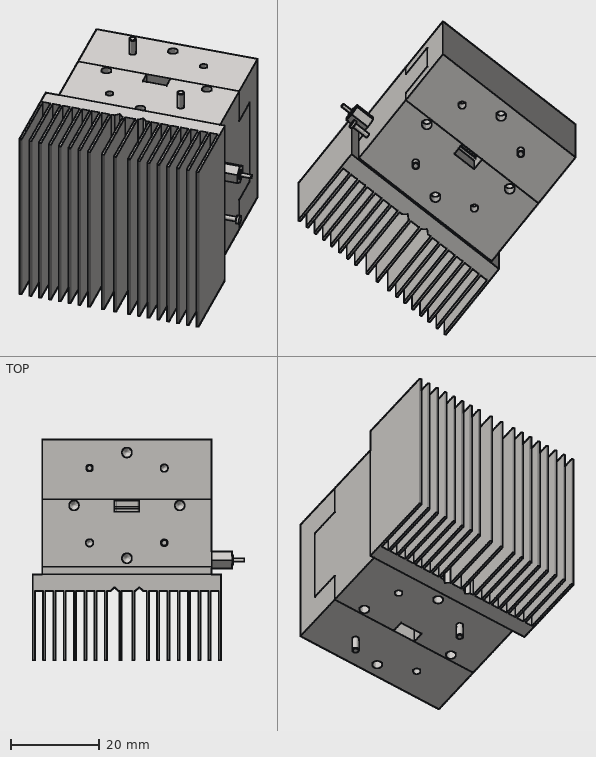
import cadquery as cq
import math


BLOCK_WIDTH = 38.3
BLOCK_HEIGHT = 38.1
SPLIT_Y = 1.45
BACK_Y = 14.95
TONGUE_Y = 9.25
TONGUE_HEIGHT = 21.7

PLATE_THICKNESS = 1.7
PLATE_HEIGHT = 17.5

SINK_SIZE = 42.6
SINK_BACK_Y = -15.6
SINK_BASE_THICKNESS = 3.75
FIN_TIP_Y = -35.05
FIN_THICKNESS = 0.55
FIN_TIP_RADIUS = 0.15
FINS_PER_SIDE = 8
CENTRE_FIN_X = 1.45
INNER_FIN_X = 4.75
GROOVE_X = 2.8
GROOVE_HALF_WIDTH = 0.9
GROOVE_DEPTH = 0.8

BOLT_CIRCLE_RADIUS = 11.95
BOLT_HOLE_DIAMETER = 2.25
DOWEL_OFFSET = 8.45
DOWEL_HOLE_DIAMETER = 1.7
DOWEL_DIAMETER = 1.55
DOWEL_LENGTH = 3.95
DOWEL_CHAMFER = 0.15
HOLE_DEPTH = 6.0
DRILL_TIP_ANGLE = 118.0
GUIDE_WIDTH = 5.7
GUIDE_DEPTH = 10.0
GUIDE_STEP_DROP = 1.0
GUIDE_STEP_EDGES = (-0.8, -0.35, 1.0)
GUIDE_CORNER_RADIUS = 0.4
GUIDE_SLOT_WIDTH = 1.15

FITTING_Y = -12.35
FITTING_Z = 6.25
HEX_CORNERS = 4.5
FITTING_END_X = 23.8
COLLAR_DIAMETER = 2.1
COLLAR_LENGTH = 0.25
CONTACT_DIAMETER = 0.85
CONTACT_END_X = 26.55
STEM_DIAMETER = 1.1
HEAD_DIAMETER = 1.95
HEAD_LENGTH = 0.7

FACE_X = BLOCK_WIDTH / 2
FACE_Z = BLOCK_HEIGHT / 2
TONGUE_Z = TONGUE_HEIGHT / 2
PLATE_Y = SINK_BACK_Y + PLATE_THICKNESS
PLATE_BOTTOM_Z = FACE_Z - PLATE_HEIGHT
SINK_HALF = SINK_SIZE / 2
OUTER_FIN_X = SINK_HALF - FIN_THICKNESS / 2
FIN_PITCH = (OUTER_FIN_X - INNER_FIN_X) / (FINS_PER_SIDE - 1)


def box(x_range, y_range, z_range):
    """A box between the given (low, high) coordinates."""
    lows, highs = zip(x_range, y_range, z_range)
    size = [high - low for low, high in zip(lows, highs)]
    return cq.Workplane("XY").box(*size, centered=False).translate(lows)


def across_block(y_range, z_range):
    """A box over the full width of the blocks."""
    return box((-FACE_X, FACE_X), y_range, z_range)


def x_cylinder(diameter, z, start_x, end_x):
    """A round bar along X on the line of the fittings."""
    plane = cq.Workplane("YZ", origin=(start_x, FITTING_Y, z))
    return plane.circle(diameter / 2).extrude(end_x - start_x)


def drilled_hole(x, y, diameter):
    """A blind hole with a conical bottom, drilled down from the top face."""
    radius = diameter / 2
    tip = radius / math.tan(math.radians(DRILL_TIP_ANGLE / 2))
    profile = [(0, 0), (radius, 0), (radius, -HOLE_DEPTH), (0, -HOLE_DEPTH - tip)]
    hole = cq.Workplane("XZ").polyline(profile).close().revolve(360, (0, 0, 0), (0, 1, 0))
    return hole.translate((x, y, FACE_Z))


def add_flange(block, bolt_places, pin_place, hole_place):
    """Drills one block's share of both flanges and adds its dowels."""
    cutters = [drilled_hole(x, y, BOLT_HOLE_DIAMETER) for x, y in bolt_places]
    cutters.append(drilled_hole(*hole_place, DOWEL_HOLE_DIAMETER))
    for cutter in cutters:
        block = block.cut(cutter).cut(cutter.mirror("XY"))
    dowel = (
        cq.Workplane("XY", origin=(*pin_place, FACE_Z))
        .circle(DOWEL_DIAMETER / 2)
        .extrude(DOWEL_LENGTH)
        .faces(">Z")
        .chamfer(DOWEL_CHAMFER)
    )
    return block.union(dowel).union(dowel.mirror("XY"))


def make_rear_block():
    """Rear block, recessed at mid-height for the tongue of the front block."""
    block = across_block((SPLIT_Y, BACK_Y), (-FACE_Z, FACE_Z))
    block = block.cut(across_block((SPLIT_Y, TONGUE_Y), (-TONGUE_Z, TONGUE_Z)))
    return add_flange(
        block,
        bolt_places=[(0, BOLT_CIRCLE_RADIUS)],
        pin_place=(-DOWEL_OFFSET, DOWEL_OFFSET),
        hole_place=(DOWEL_OFFSET, DOWEL_OFFSET),
    )


def make_connector():
    """Hexagonal connector with a collar and a slender contact."""
    hexagon = cq.Workplane("YZ", origin=(FACE_X, FITTING_Y, FITTING_Z)).transformed(rotate=(0, 0, 90))
    body = hexagon.polygon(6, HEX_CORNERS).extrude(FITTING_END_X - FACE_X)
    collar = x_cylinder(COLLAR_DIAMETER, FITTING_Z, FITTING_END_X, FITTING_END_X + COLLAR_LENGTH)
    contact = x_cylinder(CONTACT_DIAMETER, FITTING_Z, FITTING_END_X, CONTACT_END_X)
    return body.union(collar).union(contact)


def make_terminal():
    """Round terminal with a wider head."""
    stem = x_cylinder(STEM_DIAMETER, -FITTING_Z, FACE_X, FITTING_END_X)
    head = x_cylinder(HEAD_DIAMETER, -FITTING_Z, FITTING_END_X - HEAD_LENGTH, FITTING_END_X)
    return stem.union(head)


def make_guide_opening():
    """Waveguide opening with a floor that steps down to the rear and a slot in its last step."""
    edges = [-SPLIT_Y, *GUIDE_STEP_EDGES, SPLIT_Y]
    floor_z = FACE_Z - GUIDE_DEPTH
    opening = cq.Workplane("XY")
    for front_y, rear_y in zip(edges, edges[1:]):
        step = box((-GUIDE_WIDTH / 2, GUIDE_WIDTH / 2), (front_y, rear_y), (floor_z, FACE_Z))
        opening = opening.union(step.faces("<Z").edges("|Y").fillet(GUIDE_CORNER_RADIUS))
        floor_z -= GUIDE_STEP_DROP
    slot_y = (GUIDE_STEP_EDGES[-1], SPLIT_Y)
    slot = box((-GUIDE_SLOT_WIDTH / 2, GUIDE_SLOT_WIDTH / 2), slot_y, (floor_z, FACE_Z))
    return opening.union(slot)


def make_front_block():
    """Front block with its tongue, waveguide openings, connector and terminal."""
    block = across_block((SINK_BACK_Y, SPLIT_Y), (-FACE_Z, FACE_Z))
    block = block.union(across_block((SPLIT_Y, TONGUE_Y), (-TONGUE_Z, TONGUE_Z)))
    block = block.cut(across_block((SINK_BACK_Y, PLATE_Y), (PLATE_BOTTOM_Z, FACE_Z)))
    guide = make_guide_opening()
    block = block.cut(guide).cut(guide.mirror("XY"))
    block = add_flange(
        block,
        bolt_places=[(-BOLT_CIRCLE_RADIUS, 0), (BOLT_CIRCLE_RADIUS, 0), (0, -BOLT_CIRCLE_RADIUS)],
        pin_place=(DOWEL_OFFSET, -DOWEL_OFFSET),
        hole_place=(-DOWEL_OFFSET, -DOWEL_OFFSET),
    )
    return block.union(make_connector()).union(make_terminal())


def make_cover_plate():
    """Plate let into the upper half of the front block."""
    return across_block((SINK_BACK_Y, PLATE_Y), (PLATE_BOTTOM_Z, FACE_Z))


def make_heat_sink():
    """Finned heat sink with two V grooves in the root of the centre channels."""
    heights = (-SINK_HALF, SINK_HALF)
    root_y = SINK_BACK_Y - SINK_BASE_THICKNESS
    sink = box((-SINK_HALF, SINK_HALF), (root_y, SINK_BACK_Y), heights)
    fin_places = [CENTRE_FIN_X] + [INNER_FIN_X + i * FIN_PITCH for i in range(FINS_PER_SIDE)]
    for side in (-1, 1):
        groove = (
            cq.Workplane("XY", origin=(side * GROOVE_X, root_y, -SINK_HALF))
            .polyline([(-GROOVE_HALF_WIDTH, 0), (GROOVE_HALF_WIDTH, 0), (0, GROOVE_DEPTH)])
            .close()
            .extrude(SINK_SIZE)
        )
        sink = sink.cut(groove)
        for place in fin_places:
            middle = side * place
            fin_x = (middle - FIN_THICKNESS / 2, middle + FIN_THICKNESS / 2)
            fin = box(fin_x, (FIN_TIP_Y, root_y), heights)
            sink = sink.union(fin.faces("<Y").edges("|Z").fillet(FIN_TIP_RADIUS))
    return sink


rear_block = make_rear_block()
front_block = make_front_block()
cover_plate = make_cover_plate()
heat_sink = make_heat_sink()

result = cq.Compound.makeCompound(
    [rear_block.val(), front_block.val(), cover_plate.val(), heat_sink.val()]
)